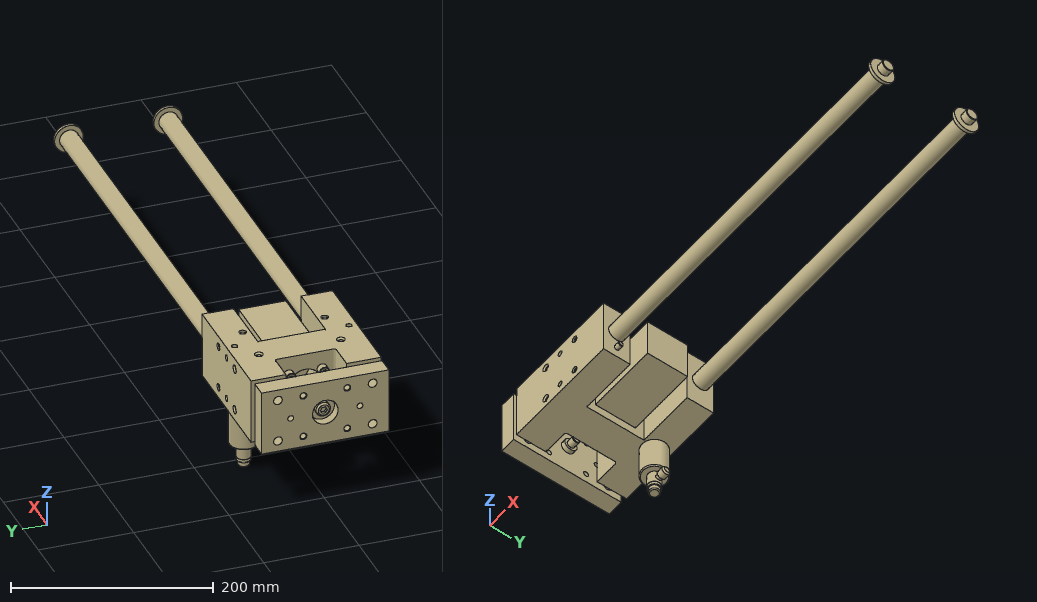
import cadquery as cq


TOTAL_LENGTH = 606.0
BODY_HEIGHT = 69.5
TOTAL_HEIGHT = 134.0
BOTTOM_Z = -BODY_HEIGHT / 2
TOP_Z = BODY_HEIGHT / 2

HOUSING_START = 26.0
HOUSING_LENGTH = 140.5
HOUSING_WIDTH = 137.0
HOUSING_END = HOUSING_START + HOUSING_LENGTH
WEB_START = 57.5
WEB_END = 97.0
FRONT_POCKET_WIDTH = 63.5
REAR_POCKET_WIDTH = 71.0
POCKET_FILLET = 2.5
WEB_BORE_DIAMETER = 35.0
WEB_BORE_DEPTH = 36.5

BLOCK_END = 181.0
BLOCK_WIDTH = 49.5
BLOCK_HEIGHT = 48.0

HOLE_MIDDLE_X = 96.5
HOLE_PITCH_X = 46.5
TOP_HOLE_Y = 43.0
TOP_DOWEL_Y = 60.0
SIDE_HOLE_Z = 23.0
BOLT_HOLE_DIAMETER = 4.9
FRONT_SINK_DIAMETER = 8.5
REAR_SINK_DIAMETER = 7.0
DOWEL_DIAMETER = 6.0
HOUSING_HOLE_DEPTH = 12.0
SINK_ANGLE = 45

STOP_PIN_DIAMETER = 10.0
STOP_PIN_LENGTH = 8.0
STOP_PIN_Y = 17.5
STOP_PIN_Z = 15.0
STOP_SOCKET_DIAMETER = 4.9
STOP_SOCKET_DEPTH = 3.5
REAR_PIN_DIAMETER = 6.0
REAR_PIN_LENGTH = 7.0
REAR_PIN_Z = -22.0
PIN_CHAMFER = 0.5

UNIT_DIAMETER = 30.0
UNIT_LENGTH = 39.5
UNIT_X = 92.0
UNIT_CHAMFER = 1.0
CONNECTOR_DIAMETER = 15.0
COLLAR_DIAMETER = 14.5
COLLAR_HEIGHT = 3.5
TIP_DIAMETER = 12.0
TIP_HEIGHT = 6.0
TIP_CHAMFER = 1.0
FITTING_DROP = 47.0
NECK_DIAMETER = 7.0
NECK_END = 11.0
FITTING_DIAMETER = 10.0
FITTING_END = 20.5
FITTING_CHAMFER = 2.0

PLATE_THICKNESS = 19.5
PLATE_WIDTH = 134.0
PLATE_BOLT_Y = 49.5
PLATE_THREAD_Y = 23.0
PLATE_HOLE_Z = 23.0
PLATE_DOWEL_Y = 36.5
PLATE_BOLT_DIAMETER = 9.0
PLATE_THREAD_DIAMETER = 6.0
PLATE_THREAD_SINK_DIAMETER = 7.0
RECESS_DIAMETER = 26.5
RECESS_DEPTH = 10.0

HEAD_DIAMETER = 15.0
HEAD_HEIGHT = 6.0
HEAD_CHAMFER = 2.0
SOCKET_DIAMETER = 7.0
SOCKET_SIDES = 6
FLANGE_LENGTH = 5.5
STUD_DIAMETER = 9.0
STUD_LENGTH = 14.5

ROD_DIAMETER = 20.0
ROD_SPACING = 104.0
DISC_DIAMETER = 30.0
DISC_THICKNESS = 3.5
SCREW_DIAMETER = 14.0
SCREW_LENGTH = 9.0
SCREW_START = TOTAL_LENGTH - SCREW_LENGTH
DISC_START = SCREW_START - DISC_THICKNESS
ROD_YS = (-ROD_SPACING / 2, ROD_SPACING / 2)


def box_between(x_start, x_end, width, height):
    """Box from x_start to x_end, centred on the X axis."""
    box = cq.Workplane("XY").box(x_end - x_start, width, height, centered=(False, True, True))
    return box.translate((x_start, 0, 0))


def rod_along_x(x_start, x_end, diameter, y=0.0, z=0.0):
    """Cylinder along X."""
    return cq.Workplane("YZ", origin=(x_start, y, z)).circle(diameter / 2).extrude(x_end - x_start)


def rod_along_z(z_start, z_end, diameter, x, y):
    """Cylinder along Z."""
    return cq.Workplane("XY", origin=(x, y, z_start)).circle(diameter / 2).extrude(z_end - z_start)


def countersunk_hole(diameter, sink_diameter, depth):
    """Cutter for a hole going down from the origin, countersunk when the sink is wider."""
    hole = cq.Workplane("XY").circle(diameter / 2).extrude(-depth)
    sink_depth = (sink_diameter - diameter) / 2
    if sink_depth > 0:
        sink = cq.Workplane("XY").circle(sink_diameter / 2).extrude(-sink_depth, taper=SINK_ANGLE)
        hole = hole.union(sink)
    return hole


def housing_block():
    """H-shaped block with a bore in the front of its web and the rear block behind it."""
    block = box_between(HOUSING_START, HOUSING_END, HOUSING_WIDTH, BODY_HEIGHT)
    front_pocket = box_between(0, WEB_START, FRONT_POCKET_WIDTH, BODY_HEIGHT)
    front_pocket = front_pocket.edges("|Z and >X").fillet(POCKET_FILLET)
    rear_pocket = box_between(WEB_END, HOUSING_END, REAR_POCKET_WIDTH, BODY_HEIGHT)
    rear_block = box_between(WEB_END, BLOCK_END, BLOCK_WIDTH, BLOCK_HEIGHT)
    web_bore = rod_along_x(WEB_START, WEB_START + WEB_BORE_DEPTH, WEB_BORE_DIAMETER)
    return block.cut(front_pocket).cut(rear_pocket).union(rear_block).cut(web_bore)


def cut_mounting_holes(body):
    """Rows of two countersunk holes and a plain dowel hole in the top face and both side faces."""
    row = (
        (HOLE_MIDDLE_X - HOLE_PITCH_X / 2, BOLT_HOLE_DIAMETER, FRONT_SINK_DIAMETER, TOP_HOLE_Y),
        (HOLE_MIDDLE_X, DOWEL_DIAMETER, DOWEL_DIAMETER, TOP_DOWEL_Y),
        (HOLE_MIDDLE_X + HOLE_PITCH_X / 2, BOLT_HOLE_DIAMETER, REAR_SINK_DIAMETER, TOP_HOLE_Y),
    )
    for x, diameter, sink_diameter, top_y in row:
        cutter = countersunk_hole(diameter, sink_diameter, HOUSING_HOLE_DEPTH)
        for side in (-1, 1):
            body = body.cut(cutter.translate((x, side * top_y, TOP_Z)))
            side_cutter = cutter.rotate((0, 0, 0), (1, 0, 0), -90 * side)
            for z in (-SIDE_HOLE_Z, SIDE_HOLE_Z):
                body = body.cut(side_cutter.translate((x, side * HOUSING_WIDTH / 2, z)))
    return body


def add_pins(body):
    """Two socketed stop pins on the front of the web and one pin on the rear face of the -Y arm."""
    pin_start = WEB_START - STOP_PIN_LENGTH
    for y in (-STOP_PIN_Y, STOP_PIN_Y):
        pin = rod_along_x(pin_start, WEB_START, STOP_PIN_DIAMETER, y, STOP_PIN_Z)
        socket = rod_along_x(pin_start, pin_start + STOP_SOCKET_DEPTH, STOP_SOCKET_DIAMETER, y, STOP_PIN_Z)
        body = body.union(pin.faces("<X").chamfer(PIN_CHAMFER).cut(socket))
    rear_pin_end = HOUSING_END + REAR_PIN_LENGTH
    rear_pin = rod_along_x(HOUSING_END, rear_pin_end, REAR_PIN_DIAMETER, ROD_YS[0], REAR_PIN_Z)
    return body.union(rear_pin.faces(">X").chamfer(PIN_CHAMFER))


def underside_unit():
    """Cylinder below the +Y rod with a stepped connector and a fitting towards +X."""
    y = ROD_YS[1]
    unit_bottom = BOTTOM_Z - UNIT_LENGTH
    end_z = TOP_Z - TOTAL_HEIGHT
    tip_top = end_z + TIP_HEIGHT
    fitting_z = BOTTOM_Z - FITTING_DROP
    unit = rod_along_z(unit_bottom, BOTTOM_Z, UNIT_DIAMETER, UNIT_X, y).faces("<Z").chamfer(UNIT_CHAMFER)
    collar_top = tip_top + COLLAR_HEIGHT
    connector = rod_along_z(collar_top, unit_bottom, CONNECTOR_DIAMETER, UNIT_X, y)
    collar = rod_along_z(tip_top, collar_top, COLLAR_DIAMETER, UNIT_X, y)
    tip = rod_along_z(end_z, tip_top, TIP_DIAMETER, UNIT_X, y).faces("<Z").chamfer(TIP_CHAMFER)
    neck = rod_along_x(UNIT_X, UNIT_X + NECK_END, NECK_DIAMETER, y, fitting_z)
    fitting = rod_along_x(UNIT_X + NECK_END, UNIT_X + FITTING_END, FITTING_DIAMETER, y, fitting_z)
    fitting = fitting.faces(">X").chamfer(FITTING_CHAMFER)
    return unit.union(connector).union(collar).union(tip).union(neck).union(fitting)


def make_housing():
    """Housing with mounting holes, rod bores, pins and the unit below."""
    body = cut_mounting_holes(housing_block())
    for y in ROD_YS:
        body = body.cut(rod_along_x(HOUSING_START, HOUSING_END, ROD_DIAMETER, y))
    return add_pins(body).union(underside_unit())


def front_plate():
    """Plate with bolt, thread and dowel holes and a round central recess."""
    plate = box_between(0, PLATE_THICKNESS, PLATE_WIDTH, BODY_HEIGHT)
    plate = plate.cut(rod_along_x(0, RECESS_DEPTH, RECESS_DIAMETER))
    thread_hole = countersunk_hole(PLATE_THREAD_DIAMETER, PLATE_THREAD_SINK_DIAMETER, PLATE_THICKNESS)
    thread_hole = thread_hole.rotate((0, 0, 0), (0, 1, 0), -90)
    for side in (-1, 1):
        plate = plate.cut(rod_along_x(0, PLATE_THICKNESS, DOWEL_DIAMETER, side * PLATE_DOWEL_Y))
        for z in (-PLATE_HOLE_Z, PLATE_HOLE_Z):
            plate = plate.cut(rod_along_x(0, PLATE_THICKNESS, PLATE_BOLT_DIAMETER, side * PLATE_BOLT_Y, z))
            plate = plate.cut(thread_hole.translate((0, side * PLATE_THREAD_Y, z)))
    return plate


def add_centre_stud(plate):
    """Chamfered head with a hexagon socket in the recess, flange and stud behind the plate."""
    head_start = RECESS_DEPTH - HEAD_HEIGHT
    head = rod_along_x(head_start, RECESS_DEPTH, HEAD_DIAMETER).faces("<X").chamfer(HEAD_CHAMFER)
    socket = cq.Workplane("YZ", origin=(head_start, 0, 0)).polygon(SOCKET_SIDES, SOCKET_DIAMETER)
    head = head.cut(socket.extrude(HEAD_HEIGHT / 2))
    flange = rod_along_x(PLATE_THICKNESS, PLATE_THICKNESS + FLANGE_LENGTH, HEAD_DIAMETER)
    stud = rod_along_x(PLATE_THICKNESS, PLATE_THICKNESS + STUD_LENGTH, STUD_DIAMETER)
    stud = stud.faces(">X").chamfer(PIN_CHAMFER)
    return plate.union(head).union(flange).union(stud)


def guide_rod(y):
    """Rod from the plate to the end disc and its screw head."""
    rod = rod_along_x(PLATE_THICKNESS, DISC_START, ROD_DIAMETER, y)
    disc = rod_along_x(DISC_START, SCREW_START, DISC_DIAMETER, y)
    screw = rod_along_x(SCREW_START, TOTAL_LENGTH, SCREW_DIAMETER, y).faces(">X").chamfer(PIN_CHAMFER)
    return rod.union(disc).union(screw)


def make_slider():
    """Front plate with its stud and both guide rods."""
    slider = add_centre_stud(front_plate())
    for y in ROD_YS:
        slider = slider.union(guide_rod(y))
    return slider


housing = make_housing()
slider = make_slider()
result = cq.Compound.makeCompound([housing.val(), slider.val()])